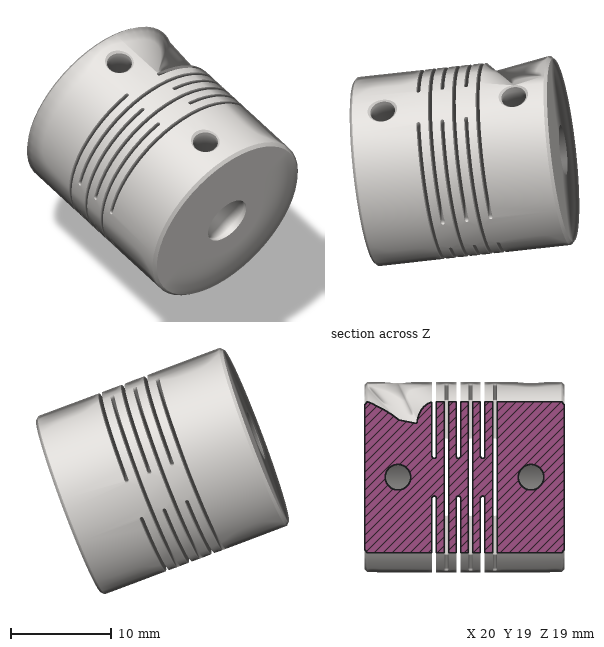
import cadquery as cq

length = 20.0
outer_diameter = 19.0
shaft_bore_diameter = 5.0
end_chamfer = 0.3

relief_diameter = 8.6
slit_width = 0.4
slit_pitch = 2.42
slits_per_direction = 3
web_thickness = 3.8
relief_length = slits_per_direction * slit_pitch + slit_width

screw_hole_diameter = 2.5
screw_countersink = 0.25
screw_hole_from_centre = 6.65


def x_cylinder(diameter, cylinder_length):
    return cq.Workplane("YZ").circle(diameter / 2).extrude(cylinder_length / 2, both=True)


def slit_pair(x):
    """Two opposed slits open at top and bottom, with a round-edged web between them."""
    slit_depth = outer_diameter / 2
    root_radius = slit_width / 2
    root_centre = web_thickness / 2 + root_radius
    slit = (
        cq.Workplane("XZ")
        .moveTo(x - root_radius, slit_depth)
        .lineTo(x - root_radius, root_centre)
        .threePointArc((x, web_thickness / 2), (x + root_radius, root_centre))
        .lineTo(x + root_radius, slit_depth)
        .close()
        .extrude(outer_diameter, both=True)
    )
    return slit.union(slit.mirror("XY"))


def screw_hole(x):
    """Radial hole from the top surface to the bore, countersunk at its mouth."""
    radius = screw_hole_diameter / 2
    mouth_radius = radius + screw_countersink
    top = outer_diameter / 2
    return (
        cq.Workplane("XZ")
        .polyline([
            (0, 0),
            (radius, 0),
            (radius, top - screw_countersink),
            (mouth_radius, top),
            (0, top),
        ])
        .close()
        .revolve(360, (0, 0, 0), (0, 1, 0))
        .translate((x, 0, 0))
    )


def turn_to_back(shape):
    """Rotate a quarter turn about the coupling axis, taking +Z to +Y."""
    return shape.rotate((0, 0, 0), (1, 0, 0), -90)


result = x_cylinder(outer_diameter, length).faces("<X or >X").chamfer(end_chamfer)
result = result.cut(x_cylinder(shaft_bore_diameter, length))
result = result.cut(x_cylinder(relief_diameter, relief_length))

for index in range(slits_per_direction):
    x_middle = (index - (slits_per_direction - 1) / 2) * slit_pitch
    result = result.cut(slit_pair(x_middle + slit_pitch / 4))
    result = result.cut(turn_to_back(slit_pair(x_middle - slit_pitch / 4)))

for x in (-screw_hole_from_centre, screw_hole_from_centre):
    result = result.cut(screw_hole(x))
    result = result.cut(turn_to_back(screw_hole(x)))